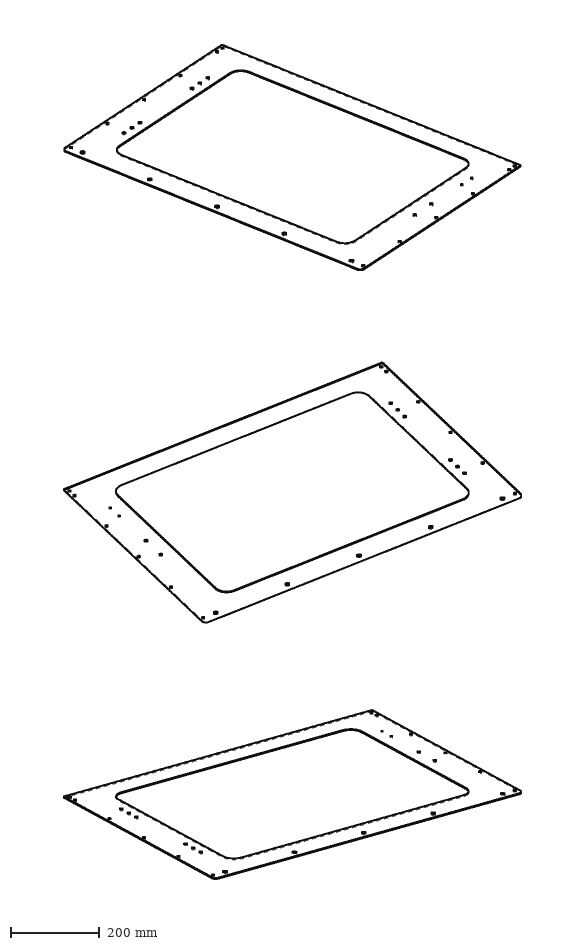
import cadquery as cq

LENGTH = 856.0
WIDTH = 584.0
THICKNESS = 3.0
FRONT_CORNER_RADIUS = 10.0

WINDOW_LENGTH = 674.5
WINDOW_WIDTH = 464.0
WINDOW_OFFSET_Y = 4.0
WINDOW_CORNER_RADIUS = 30.0

EDGE_HOLE_DIAMETER = 6.0
EDGE_HOLE_INSET = 9.0
EDGE_HOLE_PITCH = 133.5
EDGE_HOLE_COUNT = 4
REAR_HOLE_INSET = 10.0
REAR_HOLE_SPACING = 20.5

FRONT_HOLE_DIAMETER = 9.0
FRONT_HOLE_PITCH = 193.0
FRONT_HOLE_COUNT = 5
FRONT_ROW_INSET = 20.0

LEFT_HOLE_DIAMETER = 7.0
LEFT_HOLE_X = -364.0
LEFT_HOLE_PITCH = 29.0
LEFT_GROUP_CENTERS_Y = (129.0, -119.0)

RIGHT_HOLE_DIAMETER = 7.0
RIGHT_HOLE_X = 373.0
RIGHT_HOLE_SPACING = 61.0
RIGHT_PAIR_CENTER_Y = 4.0
SMALL_HOLE_DIAMETER = 4.0
SMALL_HOLE_X = 375.0
SMALL_HOLE_SPACING = 36.0
SMALL_PAIR_CENTER_Y = 162.0

FRONT_ROW_Y = -WIDTH / 2 + FRONT_ROW_INSET


def centered_row(center, pitch, count):
    """Evenly spaced coordinates, symmetric about the center."""
    return [center + pitch * (i - (count - 1) / 2) for i in range(count)]


def drill(body, points, diameter):
    """Cut through holes at the given XY points."""
    cutters = cq.Workplane("XY").pushPoints(points).circle(diameter / 2).extrude(THICKNESS)
    return body.cut(cutters)


def make_frame():
    """Flat plate with rounded front corners and a rounded rectangular window."""
    plate = cq.Workplane("XY").rect(LENGTH, WIDTH).extrude(THICKNESS)
    plate = plate.edges("|Z and <Y").fillet(FRONT_CORNER_RADIUS)
    window = (
        cq.Workplane("XY")
        .center(0, WINDOW_OFFSET_Y)
        .rect(WINDOW_LENGTH, WINDOW_WIDTH)
        .extrude(THICKNESS)
        .edges("|Z")
        .fillet(WINDOW_CORNER_RADIUS)
    )
    return plate.cut(window)


def edge_hole_points():
    """Mirrored hole columns next to the two short edges."""
    rear_y = WIDTH / 2 - REAR_HOLE_INSET
    column_y = [FRONT_ROW_Y + EDGE_HOLE_PITCH * i for i in range(EDGE_HOLE_COUNT)]
    column_y += [rear_y, rear_y - REAR_HOLE_SPACING]
    column_x = LENGTH / 2 - EDGE_HOLE_INSET
    return [(side * column_x, y) for side in (-1, 1) for y in column_y]


front_points = [(x, FRONT_ROW_Y) for x in centered_row(0, FRONT_HOLE_PITCH, FRONT_HOLE_COUNT)]
left_points = [
    (LEFT_HOLE_X, y)
    for center_y in LEFT_GROUP_CENTERS_Y
    for y in centered_row(center_y, LEFT_HOLE_PITCH, 3)
]
right_points = [(RIGHT_HOLE_X, y) for y in centered_row(RIGHT_PAIR_CENTER_Y, RIGHT_HOLE_SPACING, 2)]
small_points = [(SMALL_HOLE_X, y) for y in centered_row(SMALL_PAIR_CENTER_Y, SMALL_HOLE_SPACING, 2)]

result = make_frame()
result = drill(result, edge_hole_points(), EDGE_HOLE_DIAMETER)
result = drill(result, front_points, FRONT_HOLE_DIAMETER)
result = drill(result, left_points, LEFT_HOLE_DIAMETER)
result = drill(result, right_points, RIGHT_HOLE_DIAMETER)
result = drill(result, small_points, SMALL_HOLE_DIAMETER)